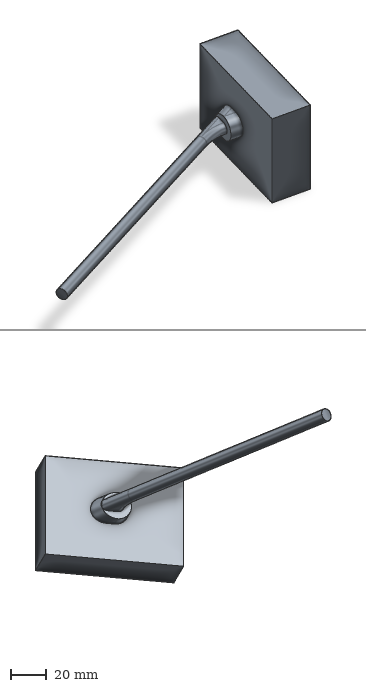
import cadquery as cq
import math

tilt = 30.0
head_length = 80.0
head_thickness = 25.0
head_height = 60.0
boss_radius = 8.0
boss_length = 8.0
rod_radius = 3.65
rod_length = 160.0
bend_radius = 35.0

sin_tilt = math.sin(math.radians(tilt))
cos_tilt = math.cos(math.radians(tilt))
half_tilt = math.radians(tilt / 2)

pivot_x = bend_radius * (1 - cos_tilt)
pivot_y = bend_radius * sin_tilt

seat_x = pivot_x + boss_length * sin_tilt
seat_y = pivot_y + boss_length * cos_tilt


def tilted_block(length, start, depth, height):
    """Block square to the tilted axis, starting at a distance from the pivot along that axis."""
    return (
        cq.Workplane("XY")
        .box(length, depth, height, centered=(True, False, True))
        .translate((0, start, 0))
        .rotate((0, 0, 0), (0, 0, 1), -tilt)
        .translate((pivot_x, pivot_y, 0))
    )


def y_cylinder(x, y_start, y_end, radius):
    """Cylinder along +Y."""
    return cq.Workplane("XZ", origin=(x, y_start, 0)).circle(radius).extrude(y_start - y_end)


def half_y_cylinder(x, y_start, y_end, radius):
    """The -X half of a cylinder along +Y."""
    return (
        cq.Workplane("XZ", origin=(x, y_start, 0))
        .moveTo(0, -radius)
        .threePointArc((-radius, 0), (0, radius))
        .close()
        .extrude(y_start - y_end)
    )


def make_head():
    return tilted_block(head_length, boss_length, head_thickness, head_height)


def make_boss():
    """Tilted cylinder and straight half cylinder, joined by a flat-sided wedge."""
    slab = tilted_block(head_length, 0, boss_length, head_height)
    straight = half_y_cylinder(pivot_x, 0, seat_y + boss_radius, boss_radius).intersect(slab)
    tilted = cq.Workplane(
        cq.Plane(origin=(pivot_x, pivot_y, 0), xDir=(0, 0, 1), normal=(sin_tilt, cos_tilt, 0))
    ).circle(boss_radius).extrude(boss_length)
    wedge = (
        cq.Workplane("XY", origin=(0, 0, -boss_radius))
        .moveTo(pivot_x, pivot_y)
        .lineTo(seat_x, seat_y)
        .lineTo(pivot_x, pivot_y + boss_length / cos_tilt)
        .close()
        .extrude(2 * boss_radius)
    )
    return straight.union(wedge).union(tilted)


def make_bend():
    """Bent rod and straight half rod, joined by a flat-sided web that fills the gap between them."""
    above_boss_face = tilted_block(head_length, 0, boss_length, head_height)
    straight = half_y_cylinder(0, 0, seat_y, rod_radius).cut(above_boss_face)
    bent = cq.Workplane("XZ").circle(rod_radius).revolve(tilt, (bend_radius, 1, 0), (bend_radius, 0, 0))
    arc_middle = (bend_radius * (1 - math.cos(half_tilt)), bend_radius * math.sin(half_tilt))
    web = (
        cq.Workplane("XY", origin=(0, 0, -rod_radius))
        .moveTo(0, 0)
        .threePointArc(arc_middle, (pivot_x, pivot_y))
        .lineTo(0, pivot_y + pivot_x * sin_tilt / cos_tilt)
        .close()
        .extrude(2 * rod_radius)
    )
    return straight.union(web).union(bent)


def make_rod():
    return y_cylinder(0, -rod_length, 0, rod_radius)


result = make_head().union(make_boss()).union(make_bend()).union(make_rod())